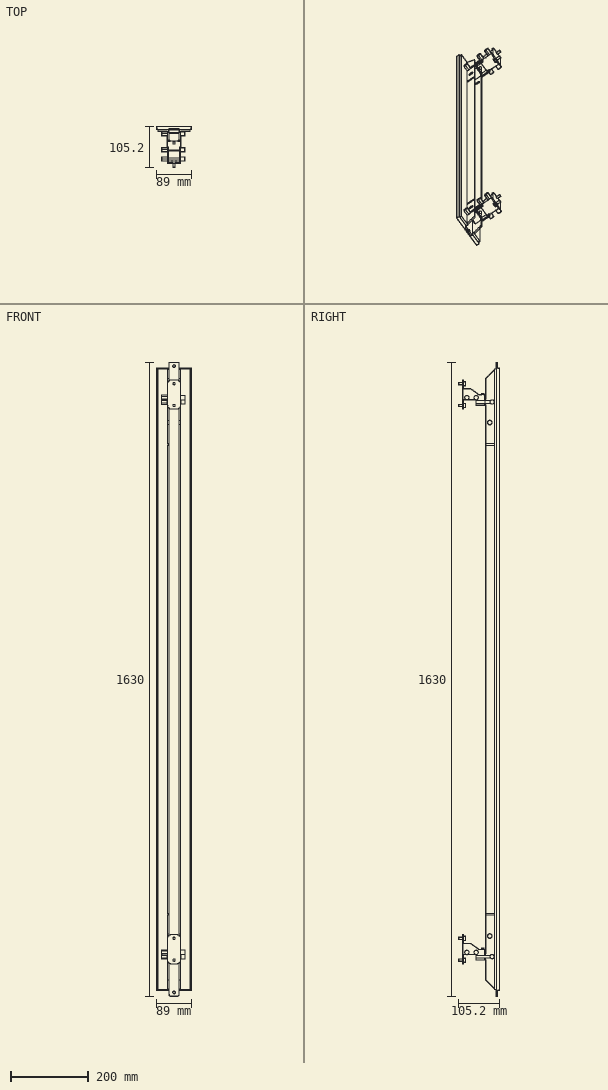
import cadquery as cq


RAIL_LENGTH = 1600.0
FLANGE_WIDTH = 89.0
BACK_PLATE_DEPTH = 8.0
FLANGE_DEPTH = 13.0
COVER_WIDTH = 83.0
COVER_SETBACK = 2.0
WALL_INNER_X = 13.0
WALL_OUTER_X = 17.0
WALL_FRONT_DEPTH = 36.0
WALL_SETBACK = 4.0
CROSS_HOLE_DIAMETER = 11.0
CROSS_HOLE_DEPTH = 25.0
CROSS_HOLE_Z = 660.0
JOINT_Z = 604.0
JOINT_WIDTH = 5.0
JOINT_GROOVE = 1.0

STRIP_LENGTH = 1630.0
STRIP_BACK_DEPTH = 5.0
STRIP_FRONT_DEPTH = 9.0
STRIP_CORNER_RADIUS = 5.0
STRIP_HOLE_DIAMETER = 6.0
STRIP_HOLE_Z = 805.0

BRACKET_Z = 713.0
BRACKET_HALF_WIDTH = WALL_OUTER_X
SHEET = 3.0
RAIL_BOLT_DEPTH = 19.0
STRAP_HEIGHT = 7.0
SLIDER_BACK_DEPTH = 18.0
SLIDER_HEIGHT = 16.0
SLIDER_CHAMFER = 4.0
LINK_BACK_DEPTH = 38.0
LINK_FRONT_DEPTH = 61.0
LINK_BOTTOM = -9.0
LINK_TOP = 19.0
PIN_DIAMETER = 6.0
PIN_DEPTH = 43.0
PIN_RISE = 3.0
ARM_BACK_DEPTH = 53.0
ARM_SHOULDER_DEPTH = 74.0
ARM_BOTTOM = 5.0
ARM_TOP = 34.0
ARM_BOLT_DEPTHS = (60.0, 84.0)
ARM_BOLT_HEIGHT = 11.0
HEX_ACROSS_FLATS = 11.0
NUT_DIAMETER = 11.0
HEAD_END_X = -32.0
NUT_END_X = 28.0
SHANK_DIAMETER = 6.0

FOOT_BACK_DEPTH = 92.0
FOOT_FRONT_DEPTH = FOOT_BACK_DEPTH + SHEET
FOOT_HEIGHT = 75.0
FOOT_MID_HEIGHT = 19.0
FOOT_CORNER_RADIUS = 10.0
SCREW_SPACING = 56.0
SCREW_DIAMETER = 6.0
SCREW_TIP_DEPTH = 105.2
SCREW_NUT_DIAMETER = 11.0
SCREW_NUT_LENGTH = 5.0


def block(x_range, depth_range, z_range):
    """Box between two X values, two depths and two Z values."""
    size_x = x_range[1] - x_range[0]
    size_y = depth_range[1] - depth_range[0]
    size_z = z_range[1] - z_range[0]
    corner = (x_range[0], -depth_range[1], z_range[0])
    return cq.Workplane("XY").box(size_x, size_y, size_z, centered=False).translate(corner)


def rod_along_x(diameter, x_range, depth, z):
    start = cq.Vector(x_range[0], -depth, z)
    length = x_range[1] - x_range[0]
    return cq.Workplane(cq.Solid.makeCylinder(diameter / 2, length, start, cq.Vector(1, 0, 0)))


def rod_along_depth(diameter, depth_range, z):
    start = cq.Vector(0, -depth_range[0], z)
    length = depth_range[1] - depth_range[0]
    return cq.Workplane(cq.Solid.makeCylinder(diameter / 2, length, start, cq.Vector(0, -1, 0)))


def side_profile(points, x_start, thickness):
    """Plate with an outline of (depth, Z) points, extruded along +X."""
    outline = [(-depth, z) for depth, z in points]
    return cq.Workplane("YZ", origin=(x_start, 0, 0)).polyline(outline).close().extrude(thickness)


def make_rail():
    half_length = RAIL_LENGTH / 2
    back_plate = block(
        (-FLANGE_WIDTH / 2, FLANGE_WIDTH / 2), (0, BACK_PLATE_DEPTH), (-half_length, half_length)
    )

    cover_half_length = half_length - COVER_SETBACK
    cover = block(
        (-COVER_WIDTH / 2, COVER_WIDTH / 2),
        (BACK_PLATE_DEPTH, FLANGE_DEPTH),
        (-cover_half_length, cover_half_length),
    )
    recess = block(
        (-WALL_INNER_X, WALL_INNER_X),
        (STRIP_FRONT_DEPTH, FLANGE_DEPTH),
        (-half_length, half_length),
    )
    rail = back_plate.union(cover).cut(recess)

    wall_end_z = half_length - WALL_SETBACK
    mitre_z = wall_end_z - (WALL_FRONT_DEPTH - FLANGE_DEPTH)
    wall_outline = [
        (STRIP_FRONT_DEPTH, -wall_end_z),
        (FLANGE_DEPTH, -wall_end_z),
        (WALL_FRONT_DEPTH, -mitre_z),
        (WALL_FRONT_DEPTH, mitre_z),
        (FLANGE_DEPTH, wall_end_z),
        (STRIP_FRONT_DEPTH, wall_end_z),
    ]
    wall_thickness = WALL_OUTER_X - WALL_INNER_X
    for wall_x in (-WALL_OUTER_X, WALL_INNER_X):
        rail = rail.union(side_profile(wall_outline, wall_x, wall_thickness))

    for end in (-1, 1):
        hole = rod_along_x(
            CROSS_HOLE_DIAMETER, (-WALL_OUTER_X, WALL_OUTER_X), CROSS_HOLE_DEPTH, end * CROSS_HOLE_Z
        )
        rail = rail.cut(hole)
        joint_range = (end * JOINT_Z - JOINT_WIDTH / 2, end * JOINT_Z + JOINT_WIDTH / 2)
        for groove_x in (-WALL_OUTER_X, WALL_OUTER_X - JOINT_GROOVE):
            groove = block(
                (groove_x, groove_x + JOINT_GROOVE), (FLANGE_DEPTH, WALL_FRONT_DEPTH), joint_range
            )
            rail = rail.cut(groove)
    return rail


def make_strip():
    half_length = STRIP_LENGTH / 2
    strip = block(
        (-WALL_INNER_X, WALL_INNER_X),
        (STRIP_BACK_DEPTH, STRIP_FRONT_DEPTH),
        (-half_length, half_length),
    )
    return strip.faces("<Z").edges("|Y").fillet(STRIP_CORNER_RADIUS)


def strip_hole(z):
    return rod_along_depth(STRIP_HOLE_DIAMETER, (STRIP_BACK_DEPTH, STRIP_FRONT_DEPTH), z)


def make_cross_bolt(depth, z):
    """Bolt along X, with its hexagonal head on the -X side and its nut on the +X side."""
    bolt = rod_along_x(SHANK_DIAMETER, (HEAD_END_X, NUT_END_X), depth, z)
    head = cq.Workplane("YZ", origin=(HEAD_END_X, -depth, z))
    head = head.polygon(6, HEX_ACROSS_FLATS, circumscribed=True).extrude(-BRACKET_HALF_WIDTH - HEAD_END_X)
    nut = rod_along_x(NUT_DIAMETER, (BRACKET_HALF_WIDTH, NUT_END_X), depth, z)
    return bolt.union(head).union(nut)


def make_foot():
    foot = block(
        (-BRACKET_HALF_WIDTH, BRACKET_HALF_WIDTH),
        (FOOT_BACK_DEPTH, FOOT_FRONT_DEPTH),
        (FOOT_MID_HEIGHT - FOOT_HEIGHT / 2, FOOT_MID_HEIGHT + FOOT_HEIGHT / 2),
    )
    foot = foot.edges("|Y").fillet(FOOT_CORNER_RADIUS)
    nut_back_depth = FOOT_BACK_DEPTH - SCREW_NUT_LENGTH
    for end in (-1, 1):
        screw_z = FOOT_MID_HEIGHT + end * SCREW_SPACING / 2
        foot = foot.union(rod_along_depth(SCREW_DIAMETER, (nut_back_depth, SCREW_TIP_DEPTH), screw_z))
        foot = foot.union(rod_along_depth(SCREW_NUT_DIAMETER, (nut_back_depth, FOOT_BACK_DEPTH), screw_z))
    return foot


def make_slider():
    """Block between the channel walls that joins the rail bolt to the link."""
    slider = block(
        (-WALL_INNER_X, WALL_INNER_X),
        (SLIDER_BACK_DEPTH, LINK_BACK_DEPTH),
        (-SLIDER_HEIGHT / 2, SLIDER_HEIGHT / 2),
    )
    return slider.faces("<Y").edges("|Z").chamfer(SLIDER_CHAMFER)


def make_bracket():
    """One bracket, with its rail bolt at Z = 0."""
    link_outline = [
        (LINK_BACK_DEPTH, LINK_BOTTOM),
        (LINK_FRONT_DEPTH, LINK_BOTTOM),
        (LINK_FRONT_DEPTH, LINK_TOP),
        (LINK_BACK_DEPTH, LINK_TOP),
    ]
    arm_outline = [
        (ARM_BACK_DEPTH, ARM_BOTTOM),
        (FOOT_BACK_DEPTH, ARM_BOTTOM),
        (FOOT_BACK_DEPTH, ARM_TOP),
        (ARM_SHOULDER_DEPTH, ARM_TOP),
        (ARM_BACK_DEPTH, LINK_TOP),
    ]
    bracket = make_foot().union(make_slider())
    for side_x in (-BRACKET_HALF_WIDTH, BRACKET_HALF_WIDTH - SHEET):
        bracket = bracket.union(side_profile(link_outline, side_x, SHEET))
        bracket = bracket.union(side_profile(arm_outline, side_x, SHEET))

    full_width = (-BRACKET_HALF_WIDTH, BRACKET_HALF_WIDTH)
    link_web = block(full_width, (LINK_BACK_DEPTH, LINK_FRONT_DEPTH), (LINK_TOP - SHEET, LINK_TOP))
    arm_web = block(full_width, (ARM_BACK_DEPTH, FOOT_BACK_DEPTH), (ARM_BOTTOM, ARM_BOTTOM + SHEET))
    bracket = bracket.union(link_web).union(arm_web)

    for strap_x in (-BRACKET_HALF_WIDTH - SHEET / 2, BRACKET_HALF_WIDTH - SHEET / 2):
        strap = block(
            (strap_x, strap_x + SHEET),
            (RAIL_BOLT_DEPTH, LINK_FRONT_DEPTH),
            (-STRAP_HEIGHT / 2, STRAP_HEIGHT / 2),
        )
        bracket = bracket.union(strap)

    pin = cq.Workplane("XY", origin=(0, -PIN_DEPTH, LINK_BOTTOM))
    pin = pin.circle(PIN_DIAMETER / 2).extrude(LINK_TOP + PIN_RISE - LINK_BOTTOM)
    bracket = bracket.union(pin)

    bracket = bracket.union(make_cross_bolt(RAIL_BOLT_DEPTH, 0))
    for bolt_depth in ARM_BOLT_DEPTHS:
        bracket = bracket.union(make_cross_bolt(bolt_depth, ARM_BOLT_HEIGHT))
    return bracket


body = make_rail().union(make_strip())
wall_bracket = make_bracket()
for end in (-1, 1):
    body = body.cut(strip_hole(end * STRIP_HOLE_Z))
    body = body.union(wall_bracket.translate((0, 0, end * BRACKET_Z)))

result = body